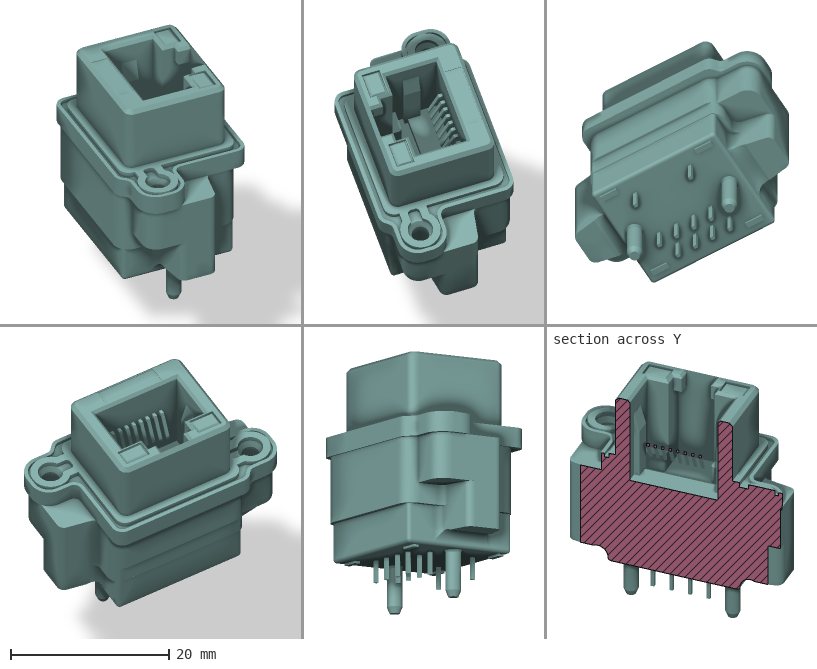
import cadquery as cq
import math

TOP_Z = 30.95
GASKET_TOP_Z = 22.3
FLANGE_TOP_Z = 22.1
FLANGE_BOTTOM_Z = 19.55
BOSS_BOTTOM_Z = 13.62
UPPER_BODY_BOTTOM_Z = 11.05
WING_BOTTOM_Z = 7.77
BODY_BOTTOM_Z = 6.0
PAD_BOTTOM_Z = 5.7
PIN_BOTTOM_Z = 3.15

FLANGE_HALF_X = 10.0
FLANGE_HALF_Y = 8.995
FLANGE_CORNER_R = 1.5
EAR_END_X = 15.155
EAR_LOW_Y = 1.35
EAR_HIGH_Y = 7.68
EAR_R = 2.57
EAR_NOTCH_X = 10.25
FLANGE_NOTCH_X = 9.15
INSIDE_R = 1.0
LIP_WIDTH = 0.5
GROOVE_FLOOR_Z = FLANGE_TOP_Z - 0.5

GASKET_X = 17.93
GASKET_Y = 15.95
GASKET_R = 1.42
GASKET_EAR_R = 2.57
GASKET_NECK = 3.6
SCREW_X = 12.0
SCREW_Y = 4.52
SCREW_MOUTH_R = 1.6
SCREW_R = 1.1
SCREW_SINK = 0.62
SCREW_END_Z = 16.1
SCREW_TIP = 0.68
RELIEF_WIDTH = 1.55
RELIEF_END_R = 0.5

UPPER_HALF_X = 9.75
UPPER_FRONT_Y = -8.75
UPPER_BACK_Y = 7.77
RELIEVED_BACK_Y = 7.5
UPPER_R = 2.0
LOWER_HALF_X = 9.07
LOWER_FRONT_Y = -8.05
LOWER_BACK_Y = 7.4
LOWER_R = 0.5
WING_END_X = 14.6
WING_END_HALF_Y = 2.4
WING_SLOPE = math.tan(math.radians(10))
WING_FOOT_X = 0.8
BOSS_HIGH_Y = 7.03
BOSS_R = 2.0

SHELL_X = 16.13
SHELL_Y = 13.95
SHELL_R = 1.1
SHELL_CHAMFER = 0.5

PLUG_HALF_X = 6.0
PLUG_LOW_Y = -3.68
PLUG_HIGH_Y = 3.13
LATCH_HALF_X = 3.15
LATCH_HIGH_Y = 4.8
SLOT_HALF_X = 2.0
SLOT_HIGH_Y = SHELL_Y / 2 - SHELL_CHAMFER
MOUTH_FLARE = 0.37
CATCH_BOTTOM_Z = 28.65
JACK_FLOOR_Z = 17.95
FLOOR_STEP_Y = 0.37
FLOOR_STEP = 0.93
LEDGE_LOW_Y = 1.83
LEDGE_HEIGHT = 2.48
LEDGE_R = 0.43

TAB_DEPTH = 0.75
TAB_LOW_Y = -1.3
TAB_HIGH_Y = 0.8
TAB_TOP_Z = 28.08
TAB_RAMP = 2.55
CONTACT_COUNT = 8
CONTACT_PITCH = 1.02
CONTACT_WIDTH = 0.43
CONTACT_THICKNESS = 0.5
CONTACT_BEND_Y = -3.13
CONTACT_TIP_Y = -1.73
CONTACT_TOP_Z = 26.0
CONTACT_DROP = 3.1
LED_X = 5.25
LED_Y = 4.8
LED_WINDOW_X = 3.4
LED_WINDOW_Y = 2.35
LED_GAP = 0.12
LED_BEVEL = 0.2
LED_BACK_BEVEL = 0.35
LED_RECESS = 0.43
LED_SINK = 0.05
LABEL_X = 8.17
LABEL_DEPTH = 0.1
LABEL_RIM = 0.1

POST_X = 6.97
POST_R = 1.0
POST_COLLAR_R = 1.1
POST_TIP_R = 0.65
POST_TIP_HEIGHT = 0.85
PAD_X = 2.38
PAD_Y = 0.75
PAD_SPACING_Y = 12.7
PIN_SIZE = 0.45
PIN_PITCH = 1.27
PIN_COUNT = 8
PIN_ROWS_Y = (-4.4, -1.9)
LED_PIN_X = 4.02
LED_PIN_Y = 4.7


def block(x0, x1, y0, y1, z0, z1):
    """Box between two corners."""
    return cq.Workplane("XY").box(x1 - x0, y1 - y0, z1 - z0, centered=False).translate((x0, y0, z0))


def rounded_block(x0, x1, y0, y1, z0, z1, radius):
    """Box with rounded vertical edges."""
    return block(x0, x1, y0, y1, z0, z1).edges("|Z").fillet(radius)


def frustum(half_x0, low_y0, high_y0, z0, half_x1, low_y1, high_y1, z1):
    """Tapered block, symmetric in X, between a lower and an upper rectangle."""
    middle_y0, middle_y1 = (low_y0 + high_y0) / 2, (low_y1 + high_y1) / 2
    return (
        cq.Workplane("XY")
        .workplane(offset=z0)
        .center(0, middle_y0)
        .rect(2 * half_x0, high_y0 - low_y0)
        .workplane(offset=z1 - z0)
        .center(0, middle_y1 - middle_y0)
        .rect(2 * half_x1, high_y1 - low_y1)
        .loft(ruled=True)
    )


def both_ends(solid):
    """The part and its copy turned half a turn about Z."""
    return solid.union(solid.rotate((0, 0, 0), (0, 0, 1), 180))


def mirrored(solid):
    """The part and its mirror image across the YZ plane."""
    return solid.union(solid.mirror("YZ"))


def flange_prism(inset, z0, z1):
    """Prism of the flange outline, drawn in by a constant inset."""
    half_outline = [
        (-FLANGE_HALF_X, -FLANGE_HALF_Y),
        (-FLANGE_HALF_X, EAR_LOW_Y),
        (-EAR_END_X, EAR_LOW_Y),
        (-EAR_END_X, EAR_HIGH_Y),
        (-EAR_NOTCH_X, EAR_HIGH_Y),
        (-FLANGE_NOTCH_X, FLANGE_HALF_Y),
    ]
    radii = [FLANGE_CORNER_R, INSIDE_R, EAR_R, EAR_R, INSIDE_R, FLANGE_CORNER_R]
    outline = half_outline + [(-x, -y) for x, y in half_outline]
    prism = cq.Workplane("XY").workplane(offset=z0).polyline(outline).close().extrude(z1 - z0)
    for (x, y), radius in zip(outline, radii + radii):
        corner = cq.selectors.BoxSelector((x - 0.03, y - 0.03, z0 - 0.3), (x + 0.03, y + 0.03, z1 + 0.3))
        prism = prism.edges("|Z").edges(corner).fillet(radius)
    if inset:
        wire = prism.faces("<Z").wires().val().offset2D(-inset)[0]
        prism = cq.Workplane(cq.Solid.extrudeLinear(wire, [], cq.Vector(0, 0, z1 - z0)))
    return prism


def make_flange():
    groove = flange_prism(LIP_WIDTH, GROOVE_FLOOR_Z, FLANGE_TOP_Z)
    return flange_prism(0, FLANGE_BOTTOM_Z, FLANGE_TOP_Z).cut(groove)


def make_gasket():
    z0, z1 = GROOVE_FLOOR_Z, GASKET_TOP_Z
    half_x, half_y = GASKET_X / 2, GASKET_Y / 2
    sheet = rounded_block(-half_x, half_x, -half_y, half_y, z0, z1, GASKET_R)
    ear = cq.Workplane("XY").circle(GASKET_EAR_R).extrude(z1 - z0).translate((-SCREW_X, SCREW_Y, z0))
    neck_low, neck_high = SCREW_Y - GASKET_NECK / 2, SCREW_Y + GASKET_NECK / 2
    neck = block(-SCREW_X, -half_x + GASKET_R, neck_low, neck_high, z0, z1)
    return sheet.union(both_ends(ear.union(neck)))


def make_screw_holes():
    """Countersunk blind holes, each with a relief slot through the gasket."""
    profile = [
        (0, GASKET_TOP_Z),
        (SCREW_MOUTH_R, GASKET_TOP_Z),
        (SCREW_MOUTH_R, GROOVE_FLOOR_Z),
        (SCREW_R, GROOVE_FLOOR_Z - SCREW_SINK),
        (SCREW_R, SCREW_END_Z),
        (0, SCREW_END_Z - SCREW_TIP),
    ]
    hole = cq.Workplane("XZ").polyline(profile).close().revolve(360, (0, 0), (0, 1))
    hole = hole.translate((-SCREW_X, SCREW_Y, 0))
    low_y, high_y = SCREW_Y - RELIEF_WIDTH / 2, SCREW_Y + RELIEF_WIDTH / 2
    relief = block(-SCREW_X, -GASKET_X / 2, low_y, high_y, GROOVE_FLOOR_Z, GASKET_TOP_Z)
    relief = relief.edges("|Z and >X").fillet(RELIEF_END_R)
    return both_ends(hole.union(relief))


def make_wing(wall_x, z0, z1):
    """Left wing with sloping flanks, filleted into a wall at -wall_x."""
    foot_y = WING_END_HALF_Y + WING_SLOPE * (WING_END_X - wall_x)
    side = foot_y + 2 * INSIDE_R
    outline = [
        (0, -side),
        (-wall_x, -side),
        (-wall_x, -foot_y),
        (-WING_END_X, -WING_END_HALF_Y),
        (-WING_END_X, WING_END_HALF_Y),
        (-wall_x, foot_y),
        (-wall_x, side),
        (0, side),
    ]
    wing = cq.Workplane("XY").workplane(offset=z0).polyline(outline).close().extrude(z1 - z0)
    reach = cq.selectors.BoxSelector(
        (-WING_END_X - 0.3, -foot_y - 0.3, z0 - 0.3), (-wall_x + 0.3, foot_y + 0.3, z1 + 0.3)
    )
    return wing.edges("|Z").edges(reach).fillet(INSIDE_R)


def make_lower_wing():
    """Lower part of the left wing, with a concave foot blending its underside into the wall."""
    foot_z = BODY_BOTTOM_Z + LOWER_R
    height = WING_BOTTOM_Z - foot_z
    radius = (WING_FOOT_X**2 + height**2) / (2 * WING_FOOT_X)
    clearance = (
        cq.Workplane("XZ")
        .center(-LOWER_HALF_X - radius, foot_z)
        .circle(radius)
        .extrude(LOWER_BACK_Y, both=True)
    )
    foot_end_x = -LOWER_HALF_X - WING_FOOT_X
    beyond = block(-WING_END_X, foot_end_x, -LOWER_BACK_Y, LOWER_BACK_Y, foot_z, WING_BOTTOM_Z)
    return make_wing(LOWER_HALF_X, foot_z, UPPER_BODY_BOTTOM_Z).cut(clearance).cut(beyond)


def make_housing():
    x = UPPER_HALF_X
    upper = rounded_block(-x, x, UPPER_FRONT_Y, UPPER_BACK_Y, UPPER_BODY_BOTTOM_Z, FLANGE_BOTTOM_Z, UPPER_R)
    upper = upper.cut(block(-x, x, RELIEVED_BACK_Y, UPPER_BACK_Y, UPPER_BODY_BOTTOM_Z, BOSS_BOTTOM_Z))

    x = LOWER_HALF_X
    lower = rounded_block(-x, x, LOWER_FRONT_Y, LOWER_BACK_Y, BODY_BOTTOM_Z, UPPER_BODY_BOTTOM_Z, LOWER_R)
    lower = lower.faces("<Z").edges().fillet(LOWER_R)

    boss = block(-WING_END_X, 0, 0, BOSS_HIGH_Y, BOSS_BOTTOM_Z, FLANGE_BOTTOM_Z)
    boss = boss.edges("|Z and <X and >Y").fillet(BOSS_R)
    end = make_wing(UPPER_HALF_X, UPPER_BODY_BOTTOM_Z, FLANGE_BOTTOM_Z)
    end = end.union(make_lower_wing()).union(boss)
    return upper.union(lower).union(both_ends(end)).clean()


def make_shell():
    x, y = SHELL_X / 2, SHELL_Y / 2
    shell = rounded_block(-x, x, -y, y, FLANGE_BOTTOM_Z, TOP_Z, SHELL_R)
    return shell.faces(">Z").edges().chamfer(SHELL_CHAMFER)


def bay(half_x, low_y, high_y, flare_low, flare_high):
    """One bay of the jack opening, widening at its mouth."""
    mouth_z = TOP_Z - MOUTH_FLARE
    shaft = block(-half_x, half_x, low_y, high_y, JACK_FLOOR_Z, TOP_Z)
    wide_x, wide_low, wide_high = half_x + MOUTH_FLARE, low_y - flare_low, high_y + flare_high
    flare = frustum(half_x, low_y, high_y, mouth_z, wide_x, wide_low, wide_high, TOP_Z)
    return shaft.union(flare)


def make_jack_opening():
    opening = bay(PLUG_HALF_X, PLUG_LOW_Y, PLUG_HIGH_Y, MOUTH_FLARE, MOUTH_FLARE)
    opening = opening.union(bay(LATCH_HALF_X, 0, LATCH_HIGH_Y, 0, MOUTH_FLARE))
    opening = opening.union(bay(SLOT_HALF_X, 0, SLOT_HIGH_Y, 0, 0))
    under_catch = block(-LATCH_HALF_X, LATCH_HALF_X, 0, SLOT_HIGH_Y, JACK_FLOOR_Z, CATCH_BOTTOM_Z)
    return opening.union(under_catch)


def make_jack_floor():
    """Raised front part of the floor and the two rounded ledges at its back corners."""
    step_top = JACK_FLOOR_Z + FLOOR_STEP
    step = block(-PLUG_HALF_X, PLUG_HALF_X, PLUG_LOW_Y, FLOOR_STEP_Y, JACK_FLOOR_Z, step_top)
    ledge_top = JACK_FLOOR_Z + LEDGE_HEIGHT
    ledge = block(-PLUG_HALF_X, -LATCH_HALF_X, LEDGE_LOW_Y, PLUG_HIGH_Y, JACK_FLOOR_Z, ledge_top)
    ledge = ledge.edges("|Z and >X and <Y").fillet(LEDGE_R)
    return step.union(mirrored(ledge))


def make_side_tabs():
    """Ramped tabs that grip the plug from both sides."""
    tab = (
        cq.Workplane("XZ")
        .moveTo(-PLUG_HALF_X, TAB_TOP_Z)
        .lineTo(-PLUG_HALF_X + TAB_DEPTH, TAB_TOP_Z - TAB_RAMP)
        .lineTo(-PLUG_HALF_X + TAB_DEPTH, JACK_FLOOR_Z)
        .lineTo(-PLUG_HALF_X, JACK_FLOOR_Z)
        .close()
        .extrude(TAB_LOW_Y - TAB_HIGH_Y)
        .translate((0, TAB_LOW_Y, 0))
    )
    return mirrored(tab)


def make_contacts():
    """Sloping spring contacts that lean in from the front wall."""
    tip_top = CONTACT_TOP_Z - CONTACT_DROP
    strip = (
        cq.Workplane("YZ")
        .moveTo(PLUG_LOW_Y, CONTACT_TOP_Z)
        .lineTo(CONTACT_BEND_Y, CONTACT_TOP_Z)
        .lineTo(CONTACT_TIP_Y, tip_top)
        .lineTo(CONTACT_TIP_Y, tip_top - CONTACT_THICKNESS)
        .lineTo(CONTACT_BEND_Y, CONTACT_TOP_Z - CONTACT_THICKNESS)
        .lineTo(PLUG_LOW_Y, CONTACT_TOP_Z - CONTACT_THICKNESS)
        .close()
        .extrude(CONTACT_WIDTH / 2, both=True)
    )
    first_x = -CONTACT_PITCH * (CONTACT_COUNT - 1) / 2
    contacts = strip.translate((first_x, 0, 0))
    for i in range(1, CONTACT_COUNT):
        contacts = contacts.union(strip.translate((first_x + i * CONTACT_PITCH, 0, 0)))
    return contacts


def make_led_windows():
    window = cq.Workplane("XY").box(LED_WINDOW_X, LED_WINDOW_Y, LED_RECESS, centered=(True, True, False))
    return mirrored(window.translate((-LED_X, LED_Y, TOP_Z - LED_RECESS)))


def make_leds():
    """Indicator lights with bevelled tops, the back bevel being the widest."""
    base_z, top_z = TOP_Z - LED_RECESS, TOP_Z - LED_SINK
    bevel_z = top_z - LED_BEVEL
    half_x, half_y = LED_WINDOW_X / 2 - LED_GAP, LED_WINDOW_Y / 2 - LED_GAP
    top_x, top_low, top_high = half_x - LED_BEVEL, LED_BEVEL - half_y, half_y - LED_BACK_BEVEL
    led = block(-half_x, half_x, -half_y, half_y, base_z, bevel_z)
    led = led.union(frustum(half_x, -half_y, half_y, bevel_z, top_x, top_low, top_high, top_z))
    return mirrored(led.translate((-LED_X, LED_Y, 0)))


def make_label_recess():
    """Shallow panel between the jack mouth and the front chamfer, with a thin rim on both sides."""
    low_y = -SHELL_Y / 2 + SHELL_CHAMFER + LABEL_RIM
    high_y = PLUG_LOW_Y - MOUTH_FLARE - LABEL_RIM
    return block(-LABEL_X / 2, LABEL_X / 2, low_y, high_y, TOP_Z - LABEL_DEPTH, TOP_Z)


def make_posts():
    profile = [
        (0, 0),
        (POST_TIP_R, 0),
        (POST_R, POST_TIP_HEIGHT),
        (POST_R, PAD_BOTTOM_Z),
        (POST_COLLAR_R, BODY_BOTTOM_Z),
        (0, BODY_BOTTOM_Z),
    ]
    post = cq.Workplane("XZ").polyline(profile).close().revolve(360, (0, 0), (0, 1))
    return mirrored(post.translate((-POST_X, 0, 0)))


def make_pads():
    return (
        cq.Workplane("XY")
        .workplane(offset=PAD_BOTTOM_Z)
        .rarray(2 * POST_X, PAD_SPACING_Y, 2, 2)
        .rect(PAD_X, PAD_Y)
        .extrude(BODY_BOTTOM_Z - PAD_BOTTOM_Z)
    )


def make_pins():
    """Two staggered rows of signal pins and a pair of pins for each indicator light."""
    first_x = -PIN_PITCH * (PIN_COUNT - 1) / 2
    places = [(first_x + i * PIN_PITCH, PIN_ROWS_Y[i % 2]) for i in range(PIN_COUNT)]
    places += [(-LED_PIN_X, LED_PIN_Y), (LED_PIN_X, LED_PIN_Y)]
    return (
        cq.Workplane("XY")
        .workplane(offset=PIN_BOTTOM_Z)
        .pushPoints(places)
        .rect(PIN_SIZE, PIN_SIZE)
        .extrude(BODY_BOTTOM_Z - PIN_BOTTOM_Z)
    )


body = make_housing().union(make_flange()).union(make_gasket()).union(make_shell())
body = body.cut(make_screw_holes()).cut(make_jack_opening())
body = body.cut(make_led_windows()).cut(make_label_recess())
body = body.union(make_jack_floor()).union(make_side_tabs()).union(make_contacts()).union(make_leds())
result = body.union(make_posts()).union(make_pads()).union(make_pins()).clean()